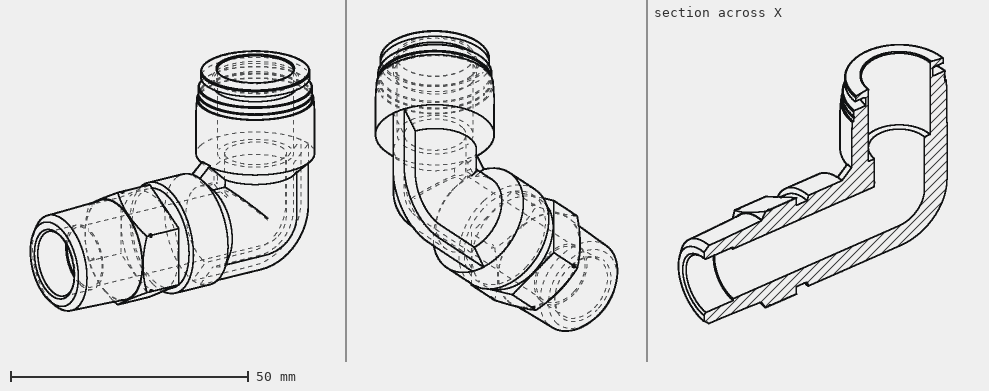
import cadquery as cq
import math


top_z = 33.1
tube_radius = 17.5 / 2
passage_radius = 13.0 / 2
inlet_radius = 25.0 / 2
outlet_radius = 24.0 / 2
inlet_cone_start_z = 10.3
inlet_cone_end_z = 13.9
outlet_cone_start = 11.75
outlet_cone_end = 15.0
outlet_rim = 23.75
outlet_end = 24.05

shoulder_radius = 12.3
shoulder_taper_z = 23.2
shoulder_z = 26.2
cap_radius = 24.0 / 2
cap_top_z = 29.0
cap_edge_chamfer = 0.2
cap_groove_z = 27.45
cap_groove_width = 0.2
cap_groove_depth = 0.2
ring_radius = 23.0 / 2
ring_bottom_z = 31.2
ring_root_chamfer = 0.3
ring_rim_z = 32.4
ring_edge_radius = 11.3
ring_edge_z = 32.65
inlet_bore_radius = 16.0 / 2
inlet_bore_floor_z = 14.0
inlet_bore_chamfer = 0.25

stud_end = 63.5 - inlet_radius
neck_radius = 21.6 / 2
hex_start = 26.8
hex_end = 35.95
hex_across_corners = 25.4
hex_chamfer_radius = 10.9
hex_chamfer_angle = 30
hex_groove_start = 33.65
hex_groove_width = 0.4
hex_groove_depth = 0.2
thread_end_radius = 10.35
thread_chamfer_start = 49.65
thread_face_radius = 9.1
stud_bore_radius = 14 / 2
stud_bore_depth = 7.6
stud_bore_chamfer = 0.5

web_thickness = 2.9
web_corner_top_z = 14.3


def turned_about_z(profile):
    """Solid of revolution about Z from (radius, z) points, closed along the axis."""
    points = [(0, profile[0][1])] + profile + [(0, profile[-1][1])]
    return cq.Workplane("XZ").polyline(points).close().revolve(360, (0, 0), (0, 1))


def turned_about_y(profile):
    """Solid of revolution along -Y from (radius, distance from the inlet axis) points."""
    return turned_about_z(profile).rotate((0, 0, 0), (1, 0, 0), 90)


def make_elbow():
    inlet = turned_about_z([
        (tube_radius, 0),
        (tube_radius, inlet_cone_start_z),
        (inlet_radius, inlet_cone_end_z),
        (inlet_radius, shoulder_taper_z),
        (shoulder_radius, shoulder_z),
    ])
    outlet = turned_about_y([
        (tube_radius, 0),
        (tube_radius, outlet_cone_start),
        (outlet_radius, outlet_cone_end),
        (outlet_radius, outlet_rim),
        (neck_radius, outlet_end),
    ])
    return inlet.union(outlet).union(cq.Workplane("XY").sphere(tube_radius))


def make_web():
    arc_center_y = inlet_radius - outlet_radius
    arc_reach = outlet_radius * math.sqrt(0.5)
    return (
        cq.Workplane("YZ")
        .moveTo(0, inlet_cone_end_z)
        .lineTo(inlet_radius, inlet_cone_end_z)
        .lineTo(inlet_radius, 0)
        .threePointArc((arc_center_y + arc_reach, -arc_reach), (arc_center_y, -outlet_radius))
        .lineTo(-outlet_cone_end, -outlet_radius)
        .lineTo(-outlet_cone_end, outlet_radius)
        .lineTo(-inlet_radius, web_corner_top_z)
        .lineTo(0, web_corner_top_z)
        .close()
        .extrude(web_thickness / 2, both=True)
    )


def make_collar():
    groove_bottom_z = cap_groove_z - cap_groove_width
    groove_radius = cap_radius - cap_groove_depth
    return turned_about_z([
        (cap_radius, shoulder_z),
        (cap_radius, groove_bottom_z),
        (groove_radius, groove_bottom_z),
        (groove_radius, cap_groove_z),
        (cap_radius, cap_groove_z),
        (cap_radius, cap_top_z - cap_edge_chamfer),
        (cap_radius - cap_edge_chamfer, cap_top_z),
        (tube_radius, cap_top_z),
        (tube_radius, ring_bottom_z - ring_root_chamfer),
        (tube_radius + ring_root_chamfer, ring_bottom_z),
        (ring_radius, ring_bottom_z),
        (ring_radius, ring_rim_z),
        (ring_edge_radius, ring_edge_z),
        (inlet_bore_radius + inlet_bore_chamfer, top_z),
    ])


def make_hexagon():
    corner_radius = hex_across_corners / 2
    chamfer_length = (corner_radius - hex_chamfer_radius) * math.tan(math.radians(hex_chamfer_angle))
    groove_radius = corner_radius - hex_groove_depth
    groove_end = hex_groove_start + hex_groove_width
    prism = (
        cq.Workplane("XY")
        .workplane(offset=hex_start)
        .polygon(6, hex_across_corners)
        .extrude(hex_end - hex_start)
        .rotate((0, 0, 0), (0, 0, 1), 30)
        .rotate((0, 0, 0), (1, 0, 0), 90)
    )
    chamfered_blank = turned_about_y([
        (corner_radius, hex_start),
        (corner_radius, hex_groove_start),
        (groove_radius, hex_groove_start),
        (groove_radius, groove_end),
        (corner_radius, groove_end),
        (corner_radius, hex_end - chamfer_length),
        (hex_chamfer_radius, hex_end),
    ])
    return prism.intersect(chamfered_blank)


def make_stud():
    neck_and_thread = turned_about_y([
        (neck_radius, outlet_end),
        (neck_radius, hex_end),
        (thread_end_radius, thread_chamfer_start),
        (thread_face_radius, stud_end),
    ])
    return neck_and_thread.union(make_hexagon())


def make_passage():
    inlet_bore = turned_about_z([
        (passage_radius, 0),
        (passage_radius, inlet_bore_floor_z),
        (inlet_bore_radius, inlet_bore_floor_z),
        (inlet_bore_radius, top_z - inlet_bore_chamfer),
        (inlet_bore_radius + inlet_bore_chamfer, top_z),
    ])
    outlet_bore = turned_about_y([
        (passage_radius, 0),
        (passage_radius, stud_end - stud_bore_depth),
        (stud_bore_radius, stud_end - stud_bore_depth),
        (stud_bore_radius, stud_end - stud_bore_chamfer),
        (stud_bore_radius + stud_bore_chamfer, stud_end),
    ])
    return inlet_bore.union(outlet_bore).union(cq.Workplane("XY").sphere(passage_radius))


body = make_elbow().union(make_web()).union(make_collar()).union(make_stud())
result = body.cut(make_passage())